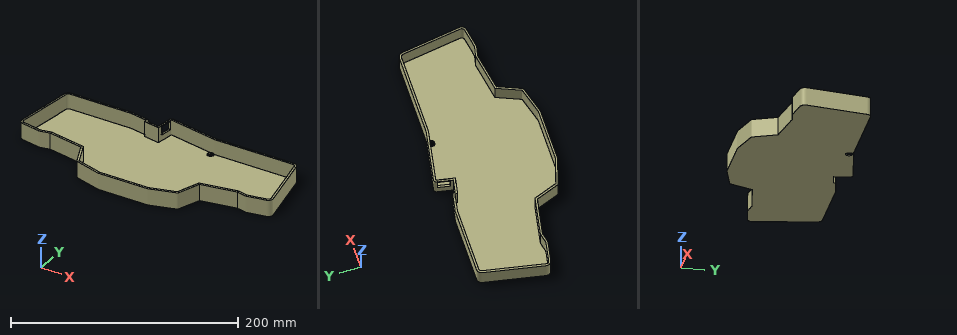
import cadquery as cq
import math

height = 17.0
wall = 2.0
floor = 1.5
slant = math.tan(math.radians(10))
corner_radius = 5.0
tip_radius = 2.5

front_flat = (25.2, 0)
palm_corner = (51.8, 7.5)
palm_root = (60.8, 29.5)
notch_peak = (95.8, palm_root[1] + (95.8 - palm_root[0]) * slant)
notch_tip = (105.5, 33.7)
side_x = 129.5
side_front = (side_x, notch_tip[1] + (side_x - notch_tip[0]) * slant)
back_y = 102.5
side_back = (side_x - (back_y - side_front[1]) * slant, back_y)
front_half = [front_flat, palm_corner, palm_root, notch_peak, notch_tip, side_front, side_back]

ramp_end = (34.5, back_y)
step_top_x = -17.3
step_top = (step_top_x, back_y + (ramp_end[0] - step_top_x) * slant)
step_root_y = 94.5
step_root = (step_top_x - (step_top[1] - step_root_y) * slant, step_root_y)
jog_x = -32.2
jog_bottom = (jog_x, step_root_y + (step_root[0] - jog_x) * slant)
bend = (-51.5, back_y)
jog_top = (jog_x, back_y - (jog_x - bend[0]) * slant)
back_edge = [ramp_end, step_top, step_root, jog_bottom, jog_top, bend]

window_front = 96.8
window_back = 108.2
window_bottom = 7.5
window_top = 16.0
window_depth = 7.7

hole_diameter = 6.0
hole_center = (30.6, 99.0)


def mirrored(points):
    """Mirror points across the centre line, reversing them to keep the outline's direction."""
    return [(-x, y) for x, y in reversed(points)]


def round_upright_edge(body, point, radius):
    """Round the vertical edge standing at an outline point."""
    edge = cq.selectors.NearestToPointSelector((point[0], point[1], height / 2))
    return body.edges("|Z").edges(edge).fillet(radius)


def make_body():
    outline = front_half + back_edge + mirrored(front_half)
    body = cq.Workplane("XY").polyline(outline).close().extrude(height)
    outer_corners = [notch_tip, side_front, side_back]
    for corner in outer_corners + mirrored(outer_corners):
        body = round_upright_edge(body, corner, corner_radius)
    for tip in [palm_corner, step_top, jog_top] + mirrored([palm_corner]):
        body = round_upright_edge(body, tip, tip_radius)
    return body


def make_cavity(body):
    rim = body.faces("<Z").wires().val()
    inner_outline = rim.offset2D(-wall, "intersection")
    cavity = cq.Workplane("XY").newObject(inner_outline).toPending().extrude(height)
    return cavity.translate((0, 0, floor))


def make_window():
    middle_y = (window_front + window_back) / 2
    middle_x = step_top_x - (step_top[1] - middle_y) * slant
    return (
        cq.Workplane("XY")
        .box(window_depth, window_back - window_front, window_top - window_bottom)
        .translate((middle_x, middle_y, (window_bottom + window_top) / 2))
    )


def make_hole():
    return cq.Workplane("XY").center(*hole_center).circle(hole_diameter / 2).extrude(floor)


body = make_body()
result = body.cut(make_cavity(body)).cut(make_window()).cut(make_hole())